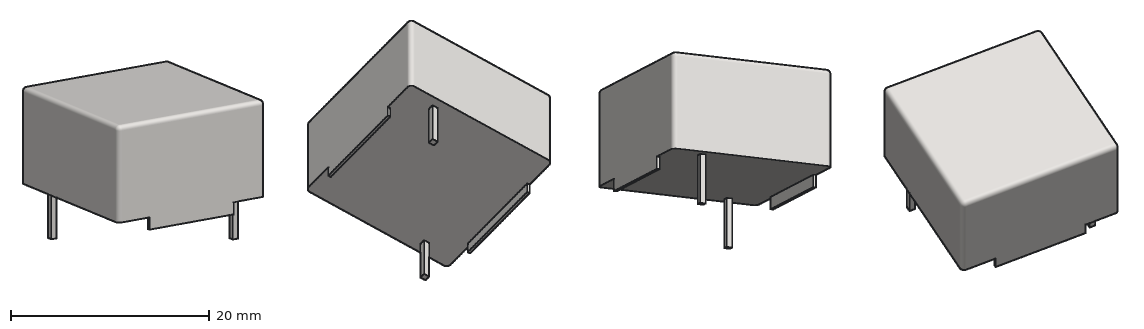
import cadquery as cq

case_x = 17.77
case_y = 17.79
case_height = 10.14
edge_radius = 0.5

tab_thickness = 0.3
tab_width = 10.15
tab_drop = 1.28

pin_side = 0.64
pin_length = 5.09
pin_spacing_x = 10.15
pin_spacing_y = 15.23


def make_case():
    """Block standing on Z = 0 with rounded vertical and top edges."""
    block = cq.Workplane("XY").box(case_x, case_y, case_height, centered=(True, True, False))
    return block.edges("|Z or >Z").fillet(edge_radius)


def make_tabs():
    """Thin tabs flush with the -X and +X faces of the case."""
    tab_spacing = case_x - tab_thickness
    return (
        cq.Workplane("XY")
        .rarray(tab_spacing, 0.18, 2, 1)
        .rect(tab_thickness, tab_width)
        .extrude(-tab_drop)
    )


def make_pins():
    """Two pins at diagonally opposite corners of a rectangle."""
    corner = (pin_spacing_x / 2, pin_spacing_y / 2)
    opposite_corner = (-pin_spacing_x / 2, -pin_spacing_y / 2)
    return (
        cq.Workplane("XY")
        .pushPoints([corner, opposite_corner])
        .rect(pin_side, pin_side)
        .extrude(-pin_length)
    )


result = make_case().union(make_tabs()).union(make_pins())